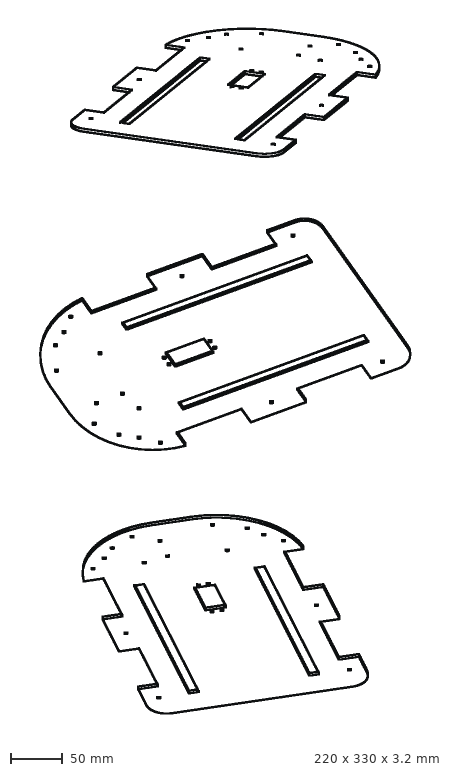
import cadquery as cq
import math

length = 330.0
width = 220.0
thickness = 3.2
neck_width = 180.2
rear_corner_radius = 20.0

rear_tab_end = 50.0
middle_tab_start = 120.0
middle_tab_end = 180.0
head_start = 250.0
nose_radius = 90.0
nose_centre_x = 20.0

slot_width = 10.0
slot_spacing = 120.0
slot_start = 30.0
slot_end = 230.0

window_width = 20.8
window_start = 169.3
window_end = 211.0

hole_diameter = 3.0
side_hole_x = 95.0
window_hole_x = 5.0
window_hole_gap = 4.0
mirrored_holes = [
    (side_hole_x, slot_start),
    (side_hole_x, (middle_tab_start + middle_tab_end) / 2),
    (side_hole_x, 270.0),
    (79.5, 285.0),
    (67.3, 300.5),
    (window_hole_x, window_start - window_hole_gap),
    (window_hole_x, window_end + window_hole_gap),
]
single_holes = [
    (-36.5, 315.0),
    (43.5, 315.0),
    (-38.3, 267.3),
    (44.5, 267.3),
    (19.8, 272.5),
    (19.8, 300.5),
]


def half_plate():
    """Right half of the outline, extruded to the plate thickness."""
    side = width / 2
    neck = neck_width / 2
    nose_centre_y = length - nose_radius
    start_angle = math.asin((head_start - nose_centre_y) / nose_radius)
    middle_angle = (start_angle + math.pi / 2) / 2

    def nose_point(angle):
        return (
            nose_centre_x + nose_radius * math.cos(angle),
            nose_centre_y + nose_radius * math.sin(angle),
        )

    return (
        cq.Workplane("XY")
        .lineTo(side - rear_corner_radius, 0)
        .radiusArc((side, rear_corner_radius), -rear_corner_radius)
        .lineTo(side, rear_tab_end)
        .lineTo(neck, rear_tab_end)
        .lineTo(neck, middle_tab_start)
        .lineTo(side, middle_tab_start)
        .lineTo(side, middle_tab_end)
        .lineTo(neck, middle_tab_end)
        .lineTo(neck, head_start)
        .lineTo(*nose_point(start_angle))
        .threePointArc(nose_point(middle_angle), (nose_centre_x, length))
        .lineTo(0, length)
        .close()
        .extrude(thickness)
    )


def rectangular_cutter(centre_x, size_x, start_y, end_y):
    """Block that opens a rectangle through the plate."""
    return (
        cq.Workplane("XY")
        .center(centre_x, (start_y + end_y) / 2)
        .rect(size_x, end_y - start_y)
        .extrude(thickness)
    )


right_half = half_plate()
plate = right_half.union(right_half.mirror("YZ")).clean()

for direction in (-1, 1):
    slot_x = direction * slot_spacing / 2
    plate = plate.cut(rectangular_cutter(slot_x, slot_width, slot_start, slot_end))
plate = plate.cut(rectangular_cutter(0, window_width, window_start, window_end))

hole_points = single_holes + [(sign * x, y) for x, y in mirrored_holes for sign in (-1, 1)]
holes = cq.Workplane("XY").pushPoints(hole_points).circle(hole_diameter / 2).extrude(thickness)

result = plate.cut(holes)